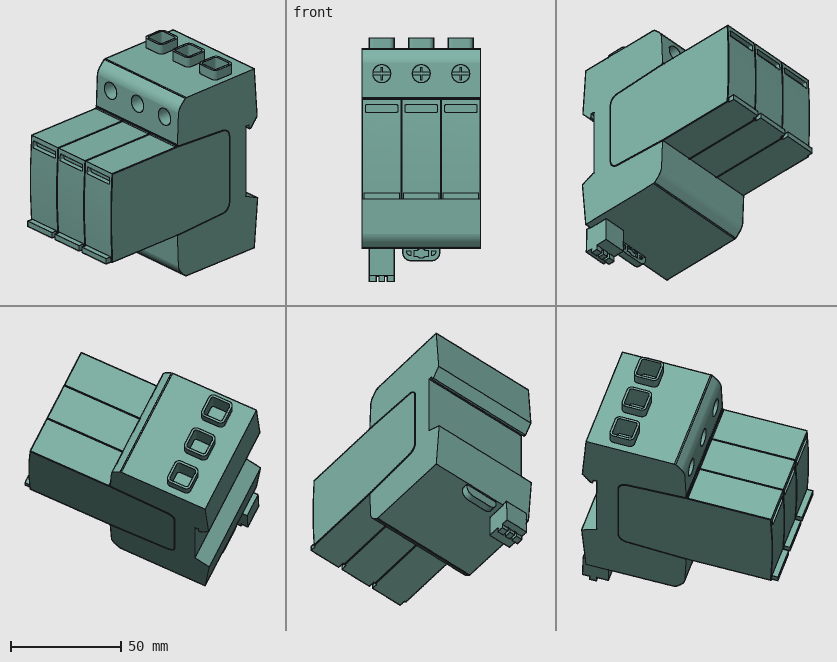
import cadquery as cq
import math


width = 54.0
pole_count = 3
pole_pitch = width / pole_count
back_half_height = 45.5
front_half_height = 45.2
corner_start = (-37.0, front_half_height)
lead_in_end = (-37.7, 45.0)
bevel_start = (-38.4, 44.5)
bevel_end = (-40.5, 42.2)
round_middle = (-41.5, 40.7)
round_end = (-42.0, 38.9)
front_y = -42.7
front_undercut = 0.5
undercut_top_z = 23.2
seat_top_z = 18.0
seat_bottom_z = -17.6
outer_back_y = 5.1
jaw_edge = (7.2, -20.8)
hook_edge = (6.9, 20.8)
hook_tip_z = 16.0
hook_tip_back_y = 3.0
hook_tip_front_y = 2.0
hook_root_y = 1.7

module_top_z = 22.2
module_bottom_z = -22.9
module_back_y = -10.2
module_front_y = -83.1
module_bow = 0.8
ridge_front_y = -43.5
ridge_peak_y = -43.0
ridge_height = 0.4
module_taper = 1.7
module_back_radius = 4.4
module_edge = 0.28

slot_width = 14.8
slot_height = 3.4
slot_middle_z = 18.1
slot_depth = 2.2
slot_radius = 0.5
tongue_width = 16.1
tongue_height = 2.8
tongue_front_y = -86.0

terminal_pitch = 17.9
socket_size = 11.5
socket_wall = 1.1
socket_radius = 2.2
socket_top_z = 50.2
socket_y = -10.5
socket_depth = 11.1
socket_root_z = 43.1
screw_diameter = 8.2
screw_z = 34.0
screw_head_y = -32.1
recess_depth = 1.1
wide_recess_height = 1.3
narrow_recess_width = 0.9
narrow_recess_height = 5.8

connector_width = 11.5
connector_front_y = -4.5
connector_back_y = 7.9
connector_top_back_y = 7.5
connector_top_z = -44.9
connector_bottom_z = -57.7
connector_bottom_back_z = -58.2
tooth_bottom_z = -60.4
tooth_back_y = 4.4
tooth_front_y = 1.2
tooth_gap = 1.2
middle_tooth_width = 2.5

clip_width = 16.9
clip_bottom_z = -51.0
clip_top_z = -43.1
clip_radius = 3.9
clip_front_y = 1.1
clip_back_y = 4.4
clip_pocket_depth = 1.1
clip_pocket_z = -47.6
clip_pocket_width = 6.6
clip_pocket_height = 2.8
clip_pocket_diameter = 4.4
window_outer_x = 6.7
window_radius = 2.0
window_top_z = -46.6


def side_plane(x):
    """Sketch plane with local axes (Y, Z), extruding towards +X."""
    return cq.Workplane("YZ", origin=(x, 0, 0))


def front_plane(y):
    """Sketch plane with local axes (X, Z), extruding towards -Y."""
    return cq.Workplane(cq.Plane(origin=(0, y, 0), xDir=(1, 0, 0), normal=(0, -1, 0)))


def block(x_range, y_range, z_range):
    """Box between the given limits along each axis."""
    sizes = [high - low for low, high in (x_range, y_range, z_range)]
    corner = (x_range[0], y_range[0], z_range[0])
    return cq.Workplane("XY").box(*sizes, centered=False).translate(corner)


def mirrored(point):
    """The same point on the lower half of the housing."""
    return (point[0], -point[1])


def pole_positions(pitch):
    """X position of each pole for the given spacing."""
    middle = (pole_count - 1) / 2
    return [(i - middle) * pitch for i in range(pole_count)]


def make_housing():
    """Full-width housing profile with the rail seat at the back."""
    undercut_y = front_y + front_undercut
    return (
        side_plane(-width / 2)
        .moveTo(outer_back_y, back_half_height)
        .lineTo(*corner_start)
        .lineTo(*lead_in_end)
        .lineTo(*bevel_start)
        .lineTo(*bevel_end)
        .threePointArc(round_middle, round_end)
        .lineTo(front_y, undercut_top_z)
        .lineTo(undercut_y, module_top_z)
        .lineTo(front_y, module_bottom_z)
        .lineTo(*mirrored(round_end))
        .threePointArc(mirrored(round_middle), mirrored(bevel_end))
        .lineTo(*mirrored(bevel_start))
        .lineTo(*mirrored(lead_in_end))
        .lineTo(*mirrored(corner_start))
        .lineTo(outer_back_y, -back_half_height)
        .lineTo(*jaw_edge)
        .lineTo(0, seat_bottom_z)
        .lineTo(0, seat_top_z)
        .lineTo(hook_root_y, seat_top_z)
        .lineTo(hook_tip_front_y, hook_tip_z)
        .lineTo(hook_tip_back_y, hook_tip_z)
        .lineTo(*hook_edge)
        .close()
        .extrude(width)
    )


def make_module_body(x_start, length):
    """Module shape between two X positions, rounded at the back and bowed at the front."""
    middle_z = (module_top_z + module_bottom_z) / 2
    return (
        side_plane(x_start)
        .moveTo(module_front_y, module_bottom_z)
        .threePointArc((module_front_y - module_bow, middle_z), (module_front_y, module_top_z))
        .lineTo(ridge_front_y, module_top_z)
        .lineTo(ridge_peak_y, module_top_z + ridge_height)
        .lineTo(front_y + front_undercut, module_top_z)
        .lineTo(module_back_y, module_top_z - module_taper)
        .lineTo(module_back_y, module_bottom_z + module_taper)
        .lineTo(front_y, module_bottom_z)
        .close()
        .extrude(length)
        .edges("|X and >Y")
        .fillet(module_back_radius)
    )


def make_module(x):
    """One plug-in module with chamfered sides, a grip slot and a tongue."""
    module = make_module_body(x - pole_pitch / 2, pole_pitch)
    module = module.faces("<X or >X").chamfer(module_edge)
    slot = (
        front_plane(module_front_y + slot_depth)
        .center(x, slot_middle_z)
        .rect(slot_width, slot_height)
        .extrude(slot_depth + 2 * module_bow)
        .edges("|Y")
        .fillet(slot_radius)
    )
    tongue = block(
        (x - tongue_width / 2, x + tongue_width / 2),
        (tongue_front_y, module_front_y + module_edge),
        (module_bottom_z, module_bottom_z + tongue_height),
    )
    return module.cut(slot).union(tongue)


def make_socket_prism(x, size, radius, bottom_z):
    """Upright square prism with rounded corners, ending at the socket top."""
    return (
        cq.Workplane("XY", origin=(x, socket_y, bottom_z))
        .rect(size, size)
        .extrude(socket_top_z - bottom_z)
        .edges("|Z")
        .fillet(radius)
    )


def make_screw_hole(x):
    """Round hole from the front with a cross recess in the screw head at its end."""
    hole = (
        front_plane(screw_head_y)
        .center(x, screw_z)
        .circle(screw_diameter / 2)
        .extrude(screw_head_y - front_y)
    )
    recess_start = front_plane(screw_head_y + recess_depth).center(x, screw_z)
    wide_recess = recess_start.rect(screw_diameter, wide_recess_height).extrude(recess_depth)
    narrow_recess = recess_start.rect(narrow_recess_width, narrow_recess_height).extrude(recess_depth)
    round_limit = recess_start.circle(screw_diameter / 2).extrude(recess_depth)
    return hole.union(wide_recess.union(narrow_recess).intersect(round_limit))


def make_connector(x):
    """Connector block with three short teeth along its lower edge."""
    left_x = x - connector_width / 2
    connector = (
        side_plane(left_x)
        .moveTo(connector_top_back_y, connector_top_z)
        .lineTo(connector_back_y, connector_bottom_back_z)
        .lineTo(tooth_back_y, connector_bottom_back_z)
        .lineTo(tooth_back_y, tooth_bottom_z)
        .lineTo(tooth_front_y, tooth_bottom_z)
        .lineTo(tooth_front_y, connector_bottom_z)
        .lineTo(connector_front_y, connector_bottom_z)
        .lineTo(connector_front_y, connector_top_z)
        .close()
        .extrude(connector_width)
    )
    for side in (-1, 1):
        gap_x = x + side * (middle_tooth_width + tooth_gap) / 2
        gap = block(
            (gap_x - tooth_gap / 2, gap_x + tooth_gap / 2),
            (tooth_front_y, tooth_back_y),
            (tooth_bottom_z, connector_bottom_z),
        )
        connector = connector.cut(gap)
    return connector


def make_clip():
    """Rail release tab with a keyed centre pocket and two quarter-round pockets."""
    clip = block(
        (-clip_width / 2, clip_width / 2),
        (clip_front_y, clip_back_y),
        (clip_bottom_z, clip_top_z),
    )
    clip = clip.edges("|Y and <Z").fillet(clip_radius)
    pocket_floor = front_plane(clip_front_y + clip_pocket_depth)
    keyway = pocket_floor.center(0, clip_pocket_z)
    clip = clip.cut(keyway.rect(clip_pocket_width, clip_pocket_height).extrude(clip_pocket_depth))
    clip = clip.cut(keyway.circle(clip_pocket_diameter / 2).extrude(clip_pocket_depth))
    diagonal = window_radius * math.cos(math.pi / 4)
    for side in (-1, 1):
        inner_x = side * (window_outer_x - window_radius)
        window = (
            pocket_floor
            .moveTo(inner_x, window_top_z)
            .lineTo(side * window_outer_x, window_top_z)
            .threePointArc(
                (inner_x + side * diagonal, window_top_z - diagonal),
                (inner_x, window_top_z - window_radius),
            )
            .close()
            .extrude(clip_pocket_depth)
        )
        clip = clip.cut(window)
    return clip


result = make_housing().cut(make_module_body(-width / 2, width))
for module_x in pole_positions(pole_pitch):
    result = result.union(make_module(module_x))

socket_opening = socket_size - 2 * socket_wall
for terminal_x in pole_positions(terminal_pitch):
    collar = make_socket_prism(terminal_x, socket_size, socket_radius, socket_root_z)
    opening = make_socket_prism(
        terminal_x, socket_opening, socket_radius - socket_wall, socket_top_z - socket_depth
    )
    result = result.union(collar).cut(opening).cut(make_screw_hole(terminal_x))

result = result.union(make_connector(-terminal_pitch)).union(make_clip())